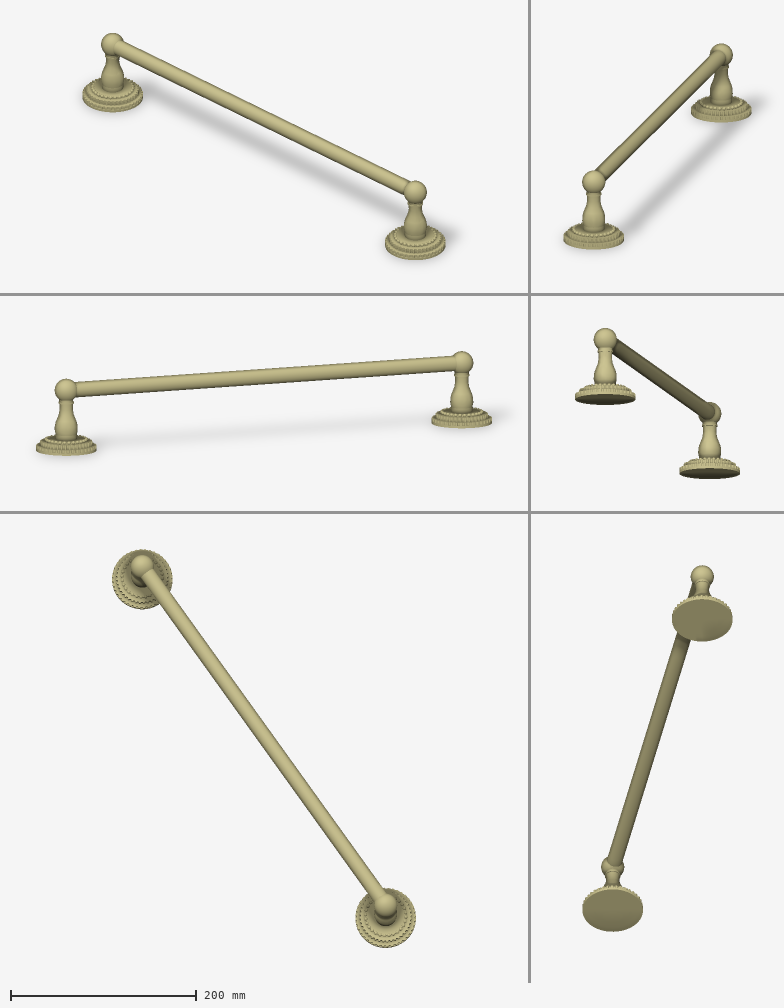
import cadquery as cq

overall_length = 522.0
overall_height = 78.5
base_radius = 32.65
post_offset = overall_length / 2 - base_radius

rim_height = 6.0
rim_band_height = 2.5
middle_radius = 28.0
middle_height = 10.5
disc_radius = 21.65
disc_height = 12.5

flute_count = 40
flute_radius = 1.5
bead_count = 28
bead_radius = 1.85
bead_top = 13.85

foot_radius = 11.5
foot_top = 18.0
bulge_radius = 12.5
bulge_height = 24.5
shoulder_radius = 10.5
shoulder_height = 33.5
neck_radius = 7.05
neck_height = 46.0
neck_top_radius = 7.5
collar_radius = 8.5
collar_bottom = 51.5
collar_top = 53.5
throat_radius = 7.55

ball_radius = 12.5
ball_height = overall_height - ball_radius
bar_radius = 8.5


def disc(radius, bottom, top):
    return cq.Workplane("XY").workplane(offset=bottom).circle(radius).extrude(top - bottom)


def fluted_step(radius, bottom, top):
    """Disc with small upright grooves evenly spaced around its edge."""
    grooves = (
        cq.Workplane("XY")
        .workplane(offset=bottom)
        .polarArray(radius, 0, 360, flute_count)
        .circle(flute_radius)
        .extrude(top - bottom)
    )
    return disc(radius, bottom, top).cut(grooves)


def make_base():
    base = disc(base_radius, 0, rim_band_height)
    base = base.union(fluted_step(base_radius, rim_band_height, rim_height))
    base = base.union(fluted_step(middle_radius, rim_height, middle_height))
    base = base.union(disc(disc_radius, middle_height, disc_height))
    beads = (
        cq.Workplane("XY")
        .workplane(offset=bead_top - bead_radius)
        .polarArray(disc_radius, 0, 360, bead_count)
        .sphere(bead_radius)
    )
    return base.union(beads)


def make_post():
    """Turned stem with a bulge, a slender neck and a narrow collar."""
    return (
        cq.Workplane("XZ")
        .moveTo(0, 0)
        .lineTo(foot_radius, 0)
        .lineTo(foot_radius, foot_top)
        .threePointArc((bulge_radius, bulge_height), (shoulder_radius, shoulder_height))
        .spline([(neck_radius, neck_height), (neck_top_radius, collar_bottom)], includeCurrent=True)
        .lineTo(collar_radius, collar_bottom)
        .lineTo(collar_radius, collar_top)
        .lineTo(throat_radius, collar_top)
        .lineTo(throat_radius, ball_height)
        .lineTo(0, ball_height)
        .close()
        .revolve(360, (0, 0, 0), (0, 1, 0))
    )


def make_bar():
    return (
        cq.Workplane("YZ")
        .workplane(offset=-post_offset)
        .center(0, ball_height)
        .circle(bar_radius)
        .extrude(2 * post_offset)
    )


ball = cq.Workplane("XY").sphere(ball_radius).translate((0, 0, ball_height))
bracket = make_base().union(make_post()).union(ball)

result = make_bar()
for side in (-1, 1):
    result = result.union(bracket.translate((side * post_offset, 0, 0)))